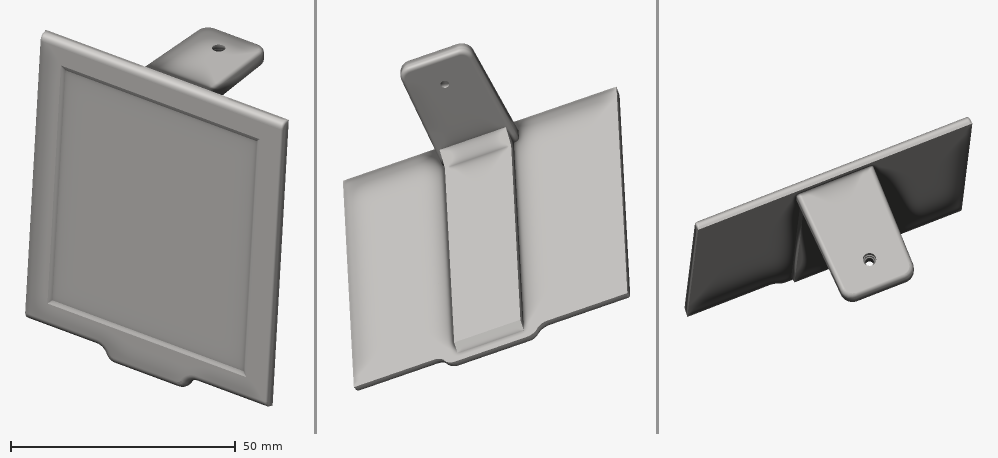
import cadquery as cq
import math

panel_tilt = 5.0

panel_width = 66.1
panel_height = 72.1
panel_top = 7.14
panel_bottom = panel_top - panel_height

tab_drop = 3.15
tab_flat_width = 17.3
tab_root_width = 27.4

backing_thickness = 0.25
plate_thickness = 1.97
plate_draft = 1.0
plate_end_round = 1.72
plate_side_round = 0.5

recess_margin = 6.05
recess_width = panel_width - 2 * recess_margin
recess_height = panel_height - 2 * recess_margin
recess_depth = 0.4
recess_wall_width = 1.0

arm_draft = 1.35
arm_tip = 27.65
arm_tip_width = 17.25
arm_tip_height = 3.75
arm_corner_radius = 2.85
arm_edge_round = 1.0

rib_width = 16.0
rib_depth = 1.8
rib_foot_below_panel = 0.6
gusset_size = 4.6

hole_from_tip = 7.05
bore_diameter = 1.92
step_diameter = 2.5
step_depth = 1.6
mouth_diameter = 3.0
mouth_depth = 1.1

tilt_sin = math.sin(math.radians(panel_tilt))
tilt_cos = math.cos(math.radians(panel_tilt))
tilt_tan = math.tan(math.radians(panel_tilt))
draft_tan = math.tan(math.radians(arm_draft))

arm_root_width = arm_tip_width + 2 * arm_tip * draft_tan
arm_root_height = arm_tip_height + arm_tip * draft_tan
hole_y = arm_tip - hole_from_tip
hole_top = arm_tip_height + hole_from_tip * draft_tan

panel_plane = cq.Plane(origin=(0, 0, 0), xDir=(1, 0, 0), normal=(0, -tilt_cos, tilt_sin))
rib_plane = cq.Plane(origin=(0, 0, 0), xDir=(0, tilt_cos, -tilt_sin), normal=(1, 0, 0))


def panel_outline(offset):
    """Closed panel outline, at a distance in front of the panel's back."""
    side_x = panel_width / 2
    root_x = tab_root_width / 2
    flat_x = tab_flat_width / 2
    middle_x = (root_x + flat_x) / 2
    tab_bottom = panel_bottom - tab_drop
    middle_y = (panel_bottom + tab_bottom) / 2
    return (
        cq.Workplane(panel_plane)
        .workplane(offset=offset)
        .moveTo(-side_x, panel_top)
        .lineTo(-side_x, panel_bottom)
        .lineTo(-root_x, panel_bottom)
        .tangentArcPoint((-middle_x, middle_y), relative=False)
        .tangentArcPoint((-flat_x, tab_bottom), relative=False)
        .lineTo(flat_x, tab_bottom)
        .tangentArcPoint((middle_x, middle_y), relative=False)
        .tangentArcPoint((root_x, panel_bottom), relative=False)
        .lineTo(side_x, panel_bottom)
        .lineTo(side_x, panel_top)
        .close()
    )


def recess_cutter():
    wall_angle = math.degrees(math.atan2(recess_wall_width, recess_depth))
    return (
        cq.Workplane(panel_plane)
        .workplane(offset=backing_thickness + plate_thickness)
        .center(0, (panel_top + panel_bottom) / 2)
        .rect(recess_width, recess_height)
        .extrude(-recess_depth, taper=wall_angle)
    )


def make_front_plate():
    """Drafted plate with a rounded front rim and the recess."""
    front = cq.selectors.DirectionMinMaxSelector(panel_plane.zDir, True)
    back = cq.selectors.DirectionMinMaxSelector(panel_plane.zDir, False)
    sides = cq.selectors.StringSyntaxSelector("<X or >X")
    plate = panel_outline(backing_thickness).extrude(plate_thickness, taper=plate_draft)
    plate = plate.faces(front).edges(cq.selectors.InverseSelector(sides)).fillet(plate_end_round)
    plate = plate.faces(sides).edges(cq.selectors.InverseSelector(back)).fillet(plate_side_round)
    return plate.cut(recess_cutter())


def make_arm():
    """Arm with a flat underside; its root end lies on the tilted back of the panel."""
    side_profile = (
        cq.Workplane("YZ")
        .moveTo(0, 0)
        .lineTo(arm_tip, 0)
        .lineTo(arm_tip, arm_tip_height)
        .lineTo(arm_root_height * tilt_tan, arm_root_height)
        .close()
        .extrude(arm_root_width, both=True)
    )
    plan = (
        cq.Workplane("XY")
        .moveTo(-arm_root_width / 2, 0)
        .lineTo(arm_root_width / 2, 0)
        .lineTo(arm_tip_width / 2, arm_tip)
        .lineTo(-arm_tip_width / 2, arm_tip)
        .close()
        .extrude(arm_root_height)
        .edges("|Z and >Y")
        .fillet(arm_corner_radius)
    )
    arm = side_profile.intersect(plan)
    arm = arm.faces("<Z").edges("not <Y").fillet(arm_edge_round)
    return arm.faces(">Z").edges("not <Y").fillet(arm_edge_round)


def make_rib():
    """Rib with a 45 degree foot, running up into the arm, and its gusset."""
    foot = panel_bottom - rib_foot_below_panel
    rib_top = arm_root_height / 2
    rib = (
        cq.Workplane(rib_plane)
        .moveTo(0, foot)
        .lineTo(rib_depth, foot + rib_depth)
        .lineTo(rib_depth, rib_top)
        .lineTo(0, rib_top)
        .close()
        .extrude(rib_width / 2, both=True)
    )
    gusset = (
        cq.Workplane("YZ")
        .moveTo(0, 0)
        .lineTo(gusset_size, 0)
        .lineTo(0, -gusset_size)
        .close()
        .extrude(rib_width / 2, both=True)
    )
    return rib.union(gusset)


def hole_cutter(diameter, bottom):
    return (
        cq.Workplane("XY")
        .workplane(offset=bottom)
        .center(0, hole_y)
        .circle(diameter / 2)
        .extrude(arm_root_height - bottom)
    )


def make_bracket():
    """Arm, rib and the thin backing sheet that carries the front plate."""
    bracket = panel_outline(0).extrude(backing_thickness).union(make_arm()).union(make_rib())
    bracket = bracket.cut(hole_cutter(bore_diameter, 0))
    bracket = bracket.cut(hole_cutter(step_diameter, hole_top - step_depth))
    return bracket.cut(hole_cutter(mouth_diameter, hole_top - mouth_depth))


front_plate = make_front_plate()
bracket = make_bracket()
result = cq.Compound.makeCompound([front_plate.val(), bracket.val()])